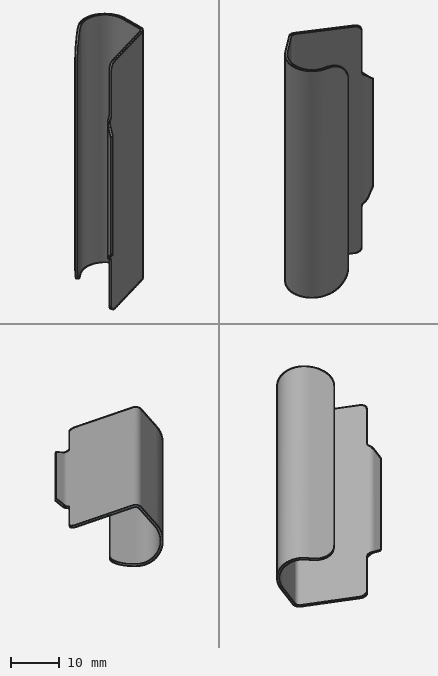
import cadquery as cq
import math

LENGTH = 60.0
WIDTH = 14.5
DEPTH = 20.0
THICKNESS = 0.5

CURL_RADIUS = 5.5
CURL_SLOPE = 20.0
LIP_END_Y = -12.5
LIP_CORNER_RADIUS = 5.0

BEND_RADIUS = 1.5
FLARE_ANGLE = 45.0
FLARE_START_Y = -17.7

PLATE_EDGE_Y = -17.35
PLATE_CORNER_RADIUS = 1.5
TAB_ROOT_RADIUS = 1.0
TAB_ROOT_HALF = 17.0
CUT_MARGIN = 1.2

INNER_BEND_RADIUS = BEND_RADIUS - THICKNESS
slope = math.radians(CURL_SLOPE)
flare = math.radians(FLARE_ANGLE)

flare_end_y = FLARE_START_Y - BEND_RADIUS * math.sin(flare)
flare_bend_shift = BEND_RADIUS * (1 - math.cos(flare))
flare_run = (DEPTH + flare_end_y) / math.cos(flare)
plate_inner_x = WIDTH - THICKNESS * math.cos(flare) - flare_run * math.sin(flare) - flare_bend_shift
plate_outer_x = plate_inner_x + THICKNESS

unrolled_bend = (BEND_RADIUS - THICKNESS / 2) * flare
bend_end_z = TAB_ROOT_HALF - unrolled_bend
tip_z = bend_end_z - flare_run


def polar(center, radius, angle):
    """Point on a circle, with the angle in radians from +X."""
    return (center[0] + radius * math.cos(angle), center[1] + radius * math.sin(angle))


def bent_section():
    curl = (CURL_RADIUS, -CURL_RADIUS)
    curl_inner = CURL_RADIUS - THICKNESS
    lip_angle = math.pi + slope
    web_angle = math.pi / 2 - slope
    curl_mid = (lip_angle + web_angle) / 2

    lip_start = polar(curl, CURL_RADIUS, lip_angle)
    lip_run = (lip_start[1] - LIP_END_Y) / math.cos(slope)
    lip_outer = (lip_start[0] + lip_run * math.sin(slope), LIP_END_Y)
    lip_inner = polar(lip_outer, THICKNESS, slope)

    web_start = polar(curl, CURL_RADIUS, web_angle)
    shoulder_x = plate_outer_x - BEND_RADIUS
    web_end_x = shoulder_x + BEND_RADIUS * math.sin(slope)
    web_end_y = web_start[1] - (web_end_x - web_start[0]) * math.tan(slope)
    shoulder = (shoulder_x, web_end_y - BEND_RADIUS * math.cos(slope))
    shoulder_mid = web_angle / 2

    flare_center = (plate_inner_x + BEND_RADIUS, FLARE_START_Y)
    flare_angle = math.pi + flare
    flare_mid = math.pi + flare / 2
    tip_near = (plate_inner_x + flare_bend_shift + flare_run * math.sin(flare), -DEPTH)
    tip_far = polar(tip_near, THICKNESS, flare)

    return (
        cq.Workplane("XY", origin=(0, 0, -LENGTH / 2))
        .moveTo(*lip_outer)
        .lineTo(*lip_start)
        .threePointArc(polar(curl, CURL_RADIUS, curl_mid), web_start)
        .lineTo(web_end_x, web_end_y)
        .threePointArc(polar(shoulder, BEND_RADIUS, shoulder_mid), (plate_outer_x, shoulder[1]))
        .lineTo(plate_outer_x, FLARE_START_Y)
        .threePointArc(
            polar(flare_center, INNER_BEND_RADIUS, flare_mid),
            polar(flare_center, INNER_BEND_RADIUS, flare_angle),
        )
        .lineTo(*tip_far)
        .lineTo(*tip_near)
        .lineTo(*polar(flare_center, BEND_RADIUS, flare_angle))
        .threePointArc(polar(flare_center, BEND_RADIUS, flare_mid), (plate_inner_x, FLARE_START_Y))
        .lineTo(plate_inner_x, shoulder[1])
        .threePointArc(
            polar(shoulder, INNER_BEND_RADIUS, shoulder_mid),
            polar(shoulder, INNER_BEND_RADIUS, web_angle),
        )
        .lineTo(*polar(curl, curl_inner, web_angle))
        .threePointArc(polar(curl, curl_inner, curl_mid), polar(curl, curl_inner, lip_angle))
        .lineTo(*lip_inner)
        .close()
        .extrude(LENGTH)
    )


def round_lip_corners(body):
    size = 2 * THICKNESS
    tip_box = cq.selectors.BoxSelector(
        (0, LIP_END_Y - size, -LENGTH), (plate_inner_x / 2, LIP_END_Y + size, LENGTH), boundingbox=False
    )
    end_edges = body.faces("<Z or >Z").edges(tip_box)
    return end_edges.fillet(LIP_CORNER_RADIUS)


def tab_cutter():
    """Material beside the tab at the +Z end; the tab ends run at 45 degrees in the unbent sheet."""
    end_z = LENGTH / 2
    root_z = TAB_ROOT_HALF
    corner_z = root_z + PLATE_EDGE_Y - FLARE_START_Y
    setback = TAB_ROOT_RADIUS * math.tan(math.pi / 8)
    root_center = (PLATE_EDGE_Y - TAB_ROOT_RADIUS, corner_z + setback)
    half_bend_y = FLARE_START_Y - BEND_RADIUS * math.sin(flare / 2)

    plate_corner = (PLATE_EDGE_Y + PLATE_CORNER_RADIUS, end_z - PLATE_CORNER_RADIUS)
    beyond_tip = -DEPTH - CUT_MARGIN
    return (
        cq.Workplane("YZ", origin=(plate_inner_x - CUT_MARGIN, 0, 0))
        .moveTo(plate_corner[0], end_z)
        .threePointArc(
            polar(plate_corner, PLATE_CORNER_RADIUS, 3 * math.pi / 4),
            (PLATE_EDGE_Y, plate_corner[1]),
        )
        .lineTo(*polar(root_center, TAB_ROOT_RADIUS, 0))
        .threePointArc(
            polar(root_center, TAB_ROOT_RADIUS, -math.pi / 8),
            polar(root_center, TAB_ROOT_RADIUS, -math.pi / 4),
        )
        .lineTo(FLARE_START_Y, root_z)
        .threePointArc((half_bend_y, root_z - unrolled_bend / 2), (flare_end_y, bend_end_z))
        .lineTo(-DEPTH, tip_z)
        .lineTo(beyond_tip, tip_z)
        .lineTo(beyond_tip, end_z + CUT_MARGIN)
        .lineTo(plate_corner[0], end_z + CUT_MARGIN)
        .close()
        .extrude(WIDTH)
    )


def flare_end_cutter():
    """Carries the sloping tab end through the sheet thickness, along the bend and the flat flare."""
    inner_bend_run = INNER_BEND_RADIUS * math.sin(flare)
    flare_plane = cq.Plane(
        origin=(plate_inner_x + flare_bend_shift, flare_end_y, 0),
        xDir=(math.sin(flare), -math.cos(flare), 0),
        normal=(math.cos(flare), math.sin(flare), 0),
    )
    return (
        cq.Workplane(flare_plane)
        .moveTo(-inner_bend_run, TAB_ROOT_HALF)
        .lineTo(0, bend_end_z)
        .lineTo(flare_run, tip_z)
        .lineTo(flare_run + CUT_MARGIN, tip_z)
        .lineTo(flare_run + CUT_MARGIN, TAB_ROOT_HALF)
        .close()
        .extrude(THICKNESS + CUT_MARGIN)
    )


result = round_lip_corners(bent_section())
for cutter in (tab_cutter(), flare_end_cutter()):
    result = result.cut(cutter).cut(cutter.mirror("XY"))